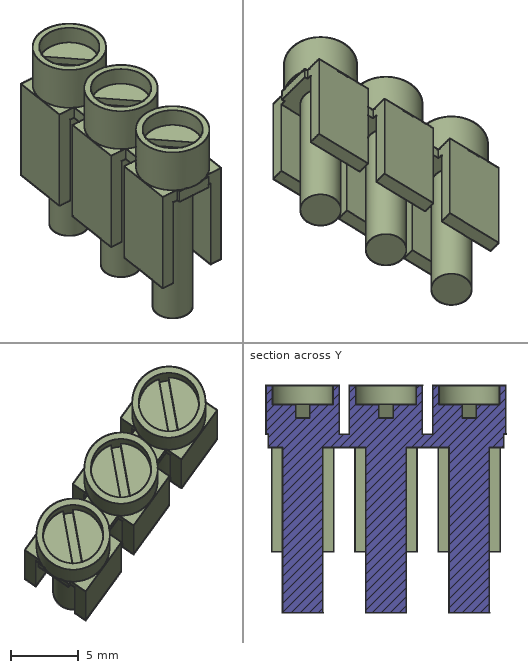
import cadquery as cq

SCREW_COUNT = 3
PITCH = 6.15

HEAD_DIAMETER = 5.43
HEAD_HEIGHT = 3.6
RECESS_DIAMETER = 4.45
RECESS_DEPTH = 1.4
SLOT_WIDTH = 0.72
SLOT_DEPTH = 1.0
SLOT_ANGLE = 45

CLAMP_LENGTH = 4.6
CLAMP_WIDTH = 5.5
CLAMP_HEIGHT = 8.7
WALL = 1.0

BRIDGE_LENGTH = 17.4
BRIDGE_WIDTH = CLAMP_WIDTH / 2

SHANK_DIAMETER = 3.0
SHANK_PROTRUSION = 4.5
SHANK_LENGTH = CLAMP_HEIGHT + SHANK_PROTRUSION


def box_below_top(length, width, height, top=0):
    """Box centred in X and Y, hanging down from the level `top`."""
    return cq.Workplane("XY").workplane(offset=top).rect(length, width).extrude(-height)


def disc_recess(depth, top):
    """Cylinder of the recess diameter, hanging down from the level `top`."""
    return cq.Workplane("XY").workplane(offset=top).circle(RECESS_DIAMETER / 2).extrude(-depth)


def make_clamp():
    outer = box_below_top(CLAMP_LENGTH, CLAMP_WIDTH, CLAMP_HEIGHT)
    opening = box_below_top(CLAMP_LENGTH, CLAMP_WIDTH - 2 * WALL, CLAMP_HEIGHT - WALL, top=-WALL)
    return outer.cut(opening)


def make_screw():
    head = cq.Workplane("XY").circle(HEAD_DIAMETER / 2).extrude(HEAD_HEIGHT)
    shank = cq.Workplane("XY").circle(SHANK_DIAMETER / 2).extrude(-SHANK_LENGTH)
    recess_floor = HEAD_HEIGHT - RECESS_DEPTH
    slot_bar = box_below_top(RECESS_DIAMETER, SLOT_WIDTH, SLOT_DEPTH, top=recess_floor)
    slot_bar = slot_bar.rotate((0, 0, 0), (0, 0, 1), SLOT_ANGLE)
    slot = disc_recess(SLOT_DEPTH, recess_floor).intersect(slot_bar)
    return head.union(shank).cut(disc_recess(RECESS_DEPTH, HEAD_HEIGHT)).cut(slot)


clamp_with_screw = make_clamp().union(make_screw())

result = box_below_top(BRIDGE_LENGTH, BRIDGE_WIDTH, WALL)
for index in range(SCREW_COUNT):
    x_position = (index - (SCREW_COUNT - 1) / 2) * PITCH
    result = result.union(clamp_with_screw.translate((x_position, 0, 0)))